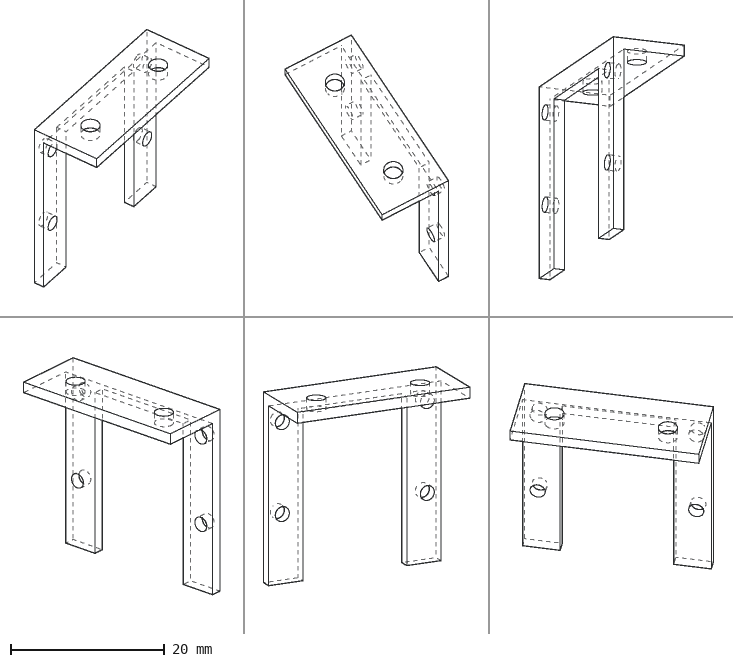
import cadquery as cq

depth = 10.0
width = 25.0
height = 26.0
thickness = 1.5

leg_width = 5.0
bridge_height = 3.0

leg_hole_diameter = 2.0
leg_hole_side_margin = 2.0
leg_hole_drops = (4.0, 16.5)

flange_hole_diameter = 2.5
flange_hole_x = 5.4
flange_hole_side_margin = 5.0


def box_from_corner(size_x, size_y, size_z):
    """Box centred on Y, starting at X = 0 and Z = 0."""
    return cq.Workplane("XY").box(size_x, size_y, size_z, centered=(False, True, False))


def hole_cutter(plane, points, diameter, length):
    """Cylinders standing on the given plane."""
    return cq.Workplane(plane).pushPoints(points).circle(diameter / 2).extrude(length)


upright = box_from_corner(thickness, width, height)
flange = box_from_corner(depth, width, thickness).translate((0, 0, height - thickness))

opening = box_from_corner(thickness, width - 2 * leg_width, height - bridge_height)

leg_hole_y = width / 2 - leg_hole_side_margin
leg_hole_points = [
    (side * leg_hole_y, height - drop) for side in (-1, 1) for drop in leg_hole_drops
]
leg_holes = hole_cutter("YZ", leg_hole_points, leg_hole_diameter, thickness)

flange_hole_y = width / 2 - flange_hole_side_margin
flange_hole_points = [(flange_hole_x, side * flange_hole_y) for side in (-1, 1)]
flange_holes = hole_cutter("XY", flange_hole_points, flange_hole_diameter, height)

result = upright.union(flange).cut(opening).cut(leg_holes).cut(flange_holes)